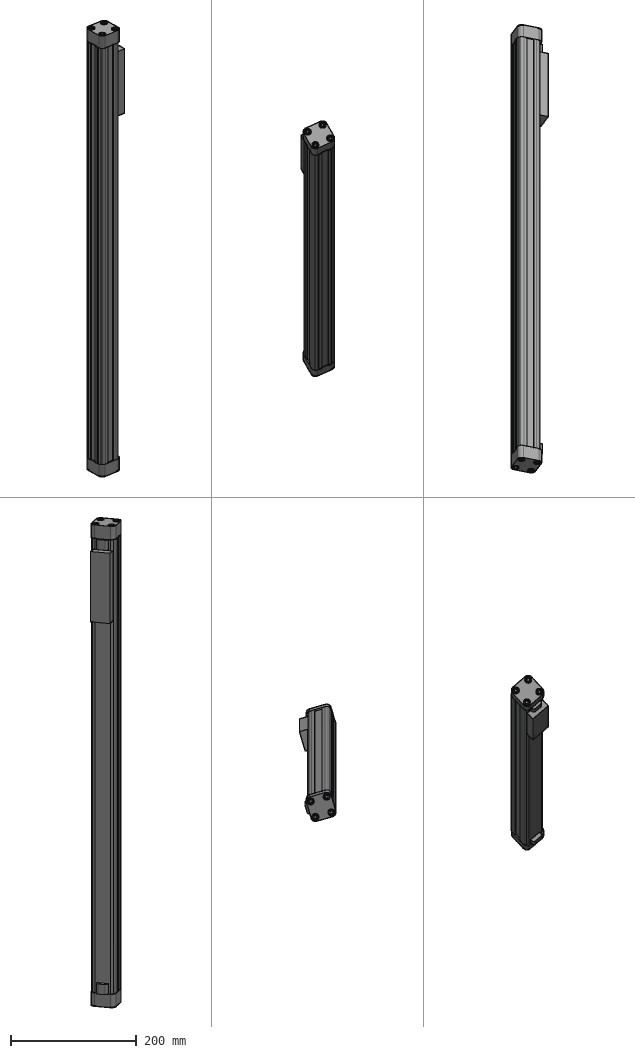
import cadquery as cq

TOTAL_LENGTH = 801.0
WIDTH = 41.0
OVERALL_DEPTH = 53.0

CAP_LENGTH = 22.5
CAP_OFFSET = 1.4
CAP_CORNER_RADIUS = 7.0
SCREW_PITCH = 26.5
COUNTERBORE_DIAMETER = 11.0
COUNTERBORE_DEPTH = 1.0
SCREW_HEAD_DIAMETER = 9.0
SCREW_PROTRUSION = 0.3
SOCKET_DIAMETER = 5.0
SOCKET_DEPTH = 2.5

CHANNEL_WIDTH = 12.0
CHANNEL_DEPTH = 2.5
CHANNEL_ANGLES = (-90, 0, 90)
LIP_WIDTH = 5.0
LIP_HEIGHT = 0.65
SHOULDER_WIDTH = 2.0
BEVEL_WIDTH = 4.4
BEVEL_DROP = 2.0
FACET_WIDTH = 2.0
FACET_DEPTH = 2.2
SIDE_ARC_RADIUS = 10.0

CLAMP_LENGTH = 17.0
CLAMP_WIDTH = 19.0
CLAMP_BACK = 26.5
CLAMP_FILLET = 4.0

CARRIAGE_WIDTH = 33.0
CARRIAGE_LENGTH = 117.0
CARRIAGE_TOP_GAP = 42.0

half_width = WIDTH / 2
carriage_back = OVERALL_DEPTH - half_width
carriage_top = TOTAL_LENGTH / 2 - CARRIAGE_TOP_GAP
cap_end = TOTAL_LENGTH / 2 - SCREW_PROTRUSION
barrel_end = cap_end - CAP_LENGTH
lip_edge = CHANNEL_WIDTH / 2 + LIP_WIDTH
shoulder = half_width - LIP_HEIGHT
shoulder_edge = lip_edge + SHOULDER_WIDTH
bevel_x = shoulder_edge + BEVEL_WIDTH
bevel_y = shoulder - BEVEL_DROP
facet_x = bevel_x + FACET_WIDTH
facet_y = bevel_y - FACET_DEPTH


def block(width, y_front, y_back, z_bottom, z_top):
    """Block centred on X between the given Y and Z limits."""
    return (
        cq.Workplane("XY", origin=(0, y_front, z_bottom))
        .box(width, y_back - y_front, z_top - z_bottom, centered=(True, False, False))
    )


def screw_discs(diameter, z_bottom, z_top):
    """Four discs on the screw pattern of the caps."""
    return (
        cq.Workplane("XY", origin=(0, CAP_OFFSET, z_bottom))
        .rect(SCREW_PITCH, SCREW_PITCH, forConstruction=True)
        .vertices()
        .circle(diameter / 2)
        .extrude(z_top - z_bottom)
    )


def end_cap():
    """Upper end cap with its four screw heads."""
    head_top = cap_end + SCREW_PROTRUSION
    cap = (
        block(WIDTH, CAP_OFFSET - half_width, CAP_OFFSET + half_width, barrel_end, cap_end)
        .edges("|Z")
        .fillet(CAP_CORNER_RADIUS)
    )
    cap = cap.cut(screw_discs(COUNTERBORE_DIAMETER, cap_end - COUNTERBORE_DEPTH, cap_end))
    cap = cap.union(screw_discs(SCREW_HEAD_DIAMETER, cap_end - COUNTERBORE_DEPTH, head_top))
    return cap.cut(screw_discs(SOCKET_DIAMETER, head_top - SOCKET_DEPTH, head_top))


def barrel_profile():
    """Barrel without lips: front and back bevelled to a facet at each corner, sides curving in to it."""
    outline = (
        cq.Workplane("XY", origin=(0, 0, -barrel_end))
        .moveTo(-shoulder_edge, -shoulder)
        .lineTo(shoulder_edge, -shoulder)
        .lineTo(bevel_x, -bevel_y)
        .lineTo(facet_x, -facet_y)
        .radiusArc((half_width, -lip_edge), -SIDE_ARC_RADIUS)
        .lineTo(half_width, lip_edge)
        .radiusArc((facet_x, facet_y), -SIDE_ARC_RADIUS)
        .lineTo(bevel_x, bevel_y)
        .lineTo(shoulder_edge, shoulder)
        .lineTo(-shoulder_edge, shoulder)
        .lineTo(-bevel_x, bevel_y)
        .lineTo(-facet_x, facet_y)
        .radiusArc((-half_width, lip_edge), -SIDE_ARC_RADIUS)
        .lineTo(-half_width, -lip_edge)
        .radiusArc((-facet_x, -facet_y), -SIDE_ARC_RADIUS)
        .lineTo(-bevel_x, -bevel_y)
        .close()
    )
    return outline.extrude(2 * barrel_end)


def strip_clamp():
    """Upper strip clamp, against the inner face of the upper cap."""
    clamp = block(CLAMP_WIDTH, 0, CLAMP_BACK, barrel_end - CLAMP_LENGTH, barrel_end)
    return clamp.faces(">Y").edges("|Z").fillet(CLAMP_FILLET)


def barrel():
    """Barrel with front lips, three channels, two strip clamps and the carriage."""
    body = barrel_profile()
    body = body.union(block(2 * lip_edge, -half_width, 0, -barrel_end, barrel_end))
    channel = block(CHANNEL_WIDTH, -half_width, CHANNEL_DEPTH - half_width, -barrel_end, barrel_end)
    for angle in CHANNEL_ANGLES:
        body = body.cut(channel.rotate((0, 0, 0), (0, 0, 1), angle))
    clamp = strip_clamp()
    body = body.union(clamp).union(clamp.mirror("XY"))
    carriage = block(CARRIAGE_WIDTH, lip_edge, carriage_back, carriage_top - CARRIAGE_LENGTH, carriage_top)
    return body.union(carriage)


top_cap = end_cap()
bottom_cap = top_cap.mirror("XY")
result = cq.Compound.makeCompound([barrel().val(), top_cap.val(), bottom_cap.val()])